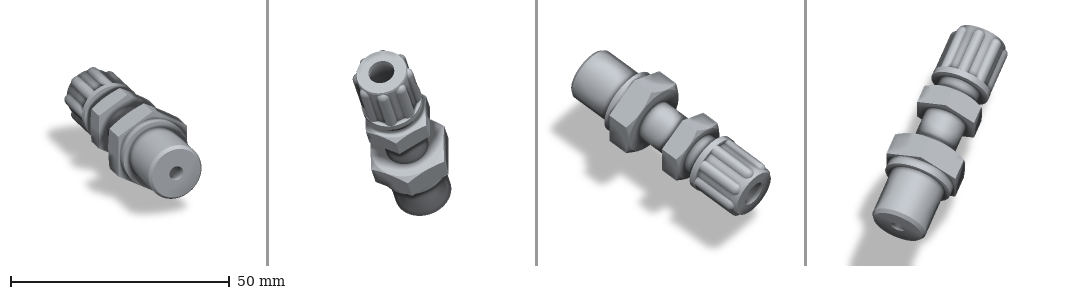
import cadquery as cq
import math

total_length = 51.0
shaft_diameter = 10.0

cap_end = 13.45
cap_diameter = 14.0
cap_body_diameter = 12.0
cap_rim_length = 0.5
cap_rim_bevel = 0.2
flange_width = 1.5
rib_count = 8
rib_diameter = 2.8
rib_radius = rib_diameter / 2
rib_orbit = cap_diameter / 2 - rib_radius
flange_start = cap_end - flange_width

hex_bevel_angle = 30.0
small_hex_start = 16.95
small_hex_width = 5.05
small_hex_flats = 14.0
large_hex_start = 30.9
large_hex_width = 6.0
large_hex_flats = 17.0
hex_face_inset = 0.25

collar_start = large_hex_start + large_hex_width
collar_width = 2.0
collar_diameter = 16.0
collar_end = collar_start + collar_width
end_diameter = 13.15
end_bevel_length = 0.8
end_bevel_depth = 0.6

bore_diameter = 3.4
bore_mouth_diameter = 4.0
socket_diameter = 6.0
socket_depth = cap_end


def cylinder(start, end, diameter):
    """Cylinder along X between two stations."""
    return cq.Workplane("YZ", origin=(start, 0, 0)).circle(diameter / 2).extrude(end - start)


def clamping_cap():
    """Stepped cap with round-nosed ribs running into a rear flange."""
    body = cylinder(0, cap_end, cap_body_diameter)
    body = body.faces("<X").chamfer(cap_rim_length, cap_rim_bevel)
    cap = body.union(cylinder(flange_start, cap_end, cap_diameter))
    nose_center = cap_rim_length + rib_radius
    rib = cylinder(nose_center, flange_start, rib_diameter)
    rib = rib.union(cq.Workplane("XY", origin=(nose_center, 0, 0)).sphere(rib_radius))
    rib = rib.translate((0, 0, rib_orbit))
    for index in range(rib_count):
        cap = cap.union(rib.rotate((0, 0, 0), (1, 0, 0), index * 360 / rib_count))
    return cap


def hexagon(start, width, flats):
    """Hexagon with corners up and down, its corners beveled by a cone on the -X face."""
    corners = flats / math.cos(math.pi / 6)
    prism = (
        cq.Workplane("YZ", origin=(start, 0, 0))
        .polygon(6, corners)
        .extrude(width)
        .rotate((0, 0, 0), (1, 0, 0), 90)
    )
    face_radius = (flats - hex_face_inset) / 2
    full_radius = corners / 2
    bevel_length = (full_radius - face_radius) * math.tan(math.radians(hex_bevel_angle))
    envelope = (
        cq.Workplane("XY")
        .moveTo(start, 0)
        .lineTo(start, face_radius)
        .lineTo(start + bevel_length, full_radius)
        .lineTo(start + width, full_radius)
        .lineTo(start + width, 0)
        .close()
        .revolve(360, (0, 0, 0), (1, 0, 0))
    )
    return prism.intersect(envelope)


def plain_end():
    """Cylindrical end with a beveled rim on the +X face."""
    end = cylinder(collar_end, total_length, end_diameter)
    return end.faces(">X").chamfer(end_bevel_length, end_bevel_depth)


def bore():
    """Through bore with a tapered mouth at the bottom of the tube socket."""
    mouth_depth = (bore_mouth_diameter - bore_diameter) / 2
    mouth = (
        cq.Workplane("YZ", origin=(socket_depth, 0, 0))
        .circle(bore_mouth_diameter / 2)
        .workplane(offset=mouth_depth)
        .circle(bore_diameter / 2)
        .loft()
    )
    passage = cylinder(0, total_length, bore_diameter)
    socket = cylinder(0, socket_depth, socket_diameter)
    return passage.union(socket).union(mouth)


result = (
    clamping_cap()
    .union(cylinder(flange_start, collar_start, shaft_diameter))
    .union(hexagon(small_hex_start, small_hex_width, small_hex_flats))
    .union(hexagon(large_hex_start, large_hex_width, large_hex_flats))
    .union(cylinder(collar_start, collar_end, collar_diameter))
    .union(plain_end())
    .cut(bore())
)